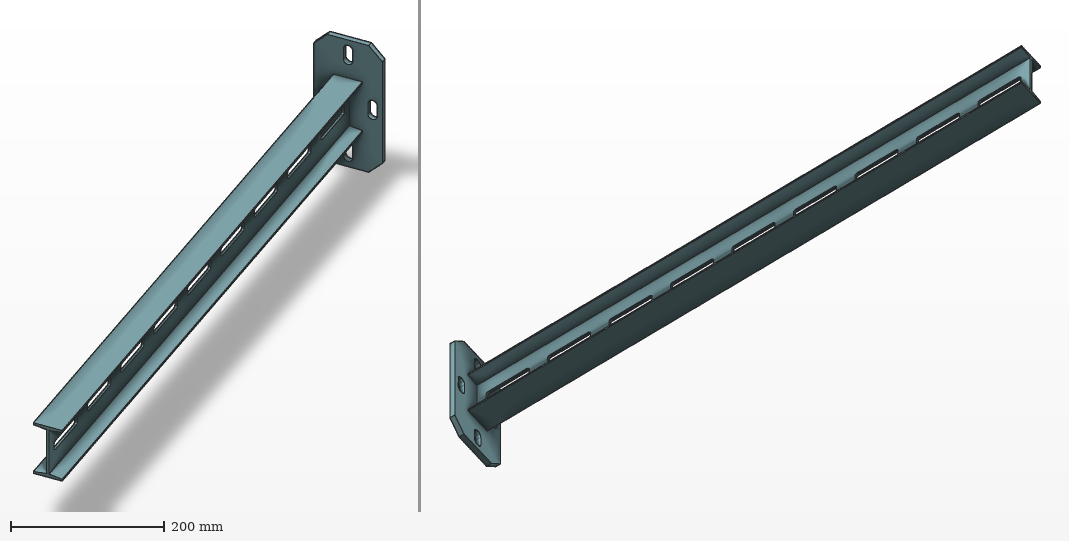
import cadquery as cq

TOTAL_LENGTH = 908.0

PLATE_WIDTH = 100.0
PLATE_HEIGHT = 200.0
PLATE_THICKNESS = 8.0
PLATE_CHAMFER = 20.0
PLATE_SLOT_LENGTH = 30.0
PLATE_SLOT_WIDTH = 14.0
SIDE_SLOT_OFFSET = 35.0
END_SLOT_OFFSET = 76.0

BEAM_LENGTH = TOTAL_LENGTH - PLATE_THICKNESS
BEAM_HEIGHT = 80.0
FLANGE_WIDTH = 42.0
FLANGE_TIP_THICKNESS = 3.0
FLANGE_ROOT_THICKNESS = 5.6
WEB_THICKNESS = 3.9

WEB_SLOT_COUNT = 9
WEB_SLOT_LENGTH = 70.0
WEB_SLOT_WIDTH = 14.0
WEB_SLOT_CORNER_RADIUS = 4.0
WEB_SLOT_PITCH = BEAM_LENGTH / WEB_SLOT_COUNT



def make_plate():
    """Upright plate with chamfered corners and four vertical slots."""
    slot_centres = [
        (-SIDE_SLOT_OFFSET, 0),
        (SIDE_SLOT_OFFSET, 0),
        (0, -END_SLOT_OFFSET),
        (0, END_SLOT_OFFSET),
    ]
    blank = (
        cq.Workplane("XZ", origin=(0, TOTAL_LENGTH, 0))
        .rect(PLATE_WIDTH, PLATE_HEIGHT)
        .extrude(PLATE_THICKNESS)
        .edges("|Y")
        .chamfer(PLATE_CHAMFER)
    )
    slots = (
        cq.Workplane("XZ", origin=(0, TOTAL_LENGTH, 0))
        .pushPoints(slot_centres)
        .slot2D(PLATE_SLOT_LENGTH, PLATE_SLOT_WIDTH, angle=90)
        .extrude(PLATE_THICKNESS)
    )
    return blank.cut(slots)


def make_beam():
    """I-beam along Y with sloped inner flange faces and a slotted web."""
    web_x = WEB_THICKNESS / 2
    tip_x = FLANGE_WIDTH / 2
    top_z = BEAM_HEIGHT / 2
    root_z = top_z - FLANGE_ROOT_THICKNESS
    tip_z = top_z - FLANGE_TIP_THICKNESS

    right_half = [(tip_x, top_z), (tip_x, tip_z), (web_x, root_z)]
    right_half += [(x, -z) for x, z in reversed(right_half)]
    left_half = [(-x, -z) for x, z in right_half]
    beam = (
        cq.Workplane("XZ")
        .polyline(right_half + left_half)
        .close()
        .extrude(-BEAM_LENGTH)
    )

    slot_centres = [((bay + 0.5) * WEB_SLOT_PITCH, 0) for bay in range(WEB_SLOT_COUNT)]
    slots = (
        cq.Workplane("YZ")
        .pushPoints(slot_centres)
        .rect(WEB_SLOT_LENGTH, WEB_SLOT_WIDTH)
        .extrude(WEB_THICKNESS, both=True)
        .edges("|X")
        .fillet(WEB_SLOT_CORNER_RADIUS)
    )
    return beam.cut(slots)


plate = make_plate()
beam = make_beam()
result = cq.Compound.makeCompound([plate.val(), beam.val()])